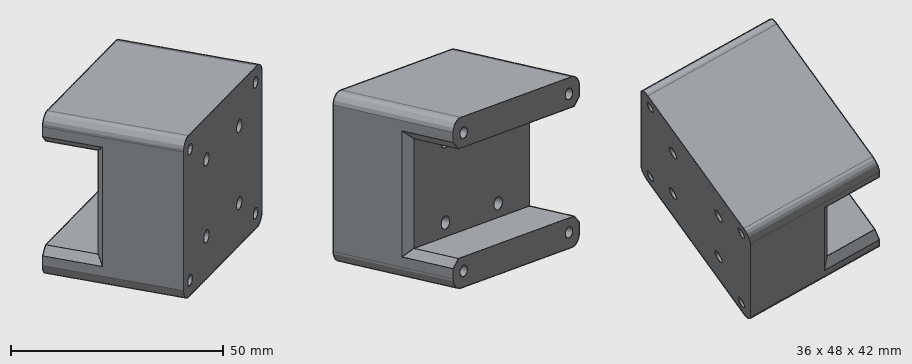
import cadquery as cq

length_x = 36.0
width_y = 48.0
height_z = 42.0
corner_radius = 3.0

channel_depth = 13.35
channel_height = 27.0
channel_chamfer = 2.0

corner_hole_diameter = 2.8
corner_hole_inset = 4.0
floor_hole_diameter = 3.2
floor_hole_spacing = 20.0

front_x = -length_x / 2


def make_block():
    """Block with its four X-direction edges rounded."""
    block = cq.Workplane("XY").box(length_x, width_y, height_z)
    return block.edges("|X").fillet(corner_radius)


def channel_section(end_y, growth):
    """Channel outline at a given Y, widened by growth on its floor and side walls."""
    depth = channel_depth + growth
    height = channel_height + 2 * growth
    return (
        cq.Workplane("XZ", origin=(front_x, end_y, 0))
        .center(depth / 2, 0)
        .rect(depth, height)
    )


def make_channel():
    """Straight channel with a chamfered mouth at both Y ends."""
    channel = channel_section(width_y / 2, 0).extrude(width_y)
    for side in (-1, 1):
        outer_y = side * width_y / 2
        inner_y = outer_y - side * channel_chamfer
        outer_wire = channel_section(outer_y, channel_chamfer).wires().val()
        inner_wire = channel_section(inner_y, 0).wires().val()
        flare = cq.Solid.makeLoft([outer_wire, inner_wire], True)
        channel = channel.union(cq.Workplane(flare))
    return channel


def make_holes(spacing_y, spacing_z, diameter):
    """Four through holes along X on a centred rectangular pattern."""
    return (
        cq.Workplane("YZ", origin=(front_x, 0, 0))
        .rect(spacing_y, spacing_z, forConstruction=True)
        .vertices()
        .circle(diameter / 2)
        .extrude(length_x)
    )


corner_holes = make_holes(
    width_y - 2 * corner_hole_inset,
    height_z - 2 * corner_hole_inset,
    corner_hole_diameter,
)
floor_holes = make_holes(floor_hole_spacing, floor_hole_spacing, floor_hole_diameter)

result = make_block().cut(make_channel()).cut(corner_holes).cut(floor_holes)